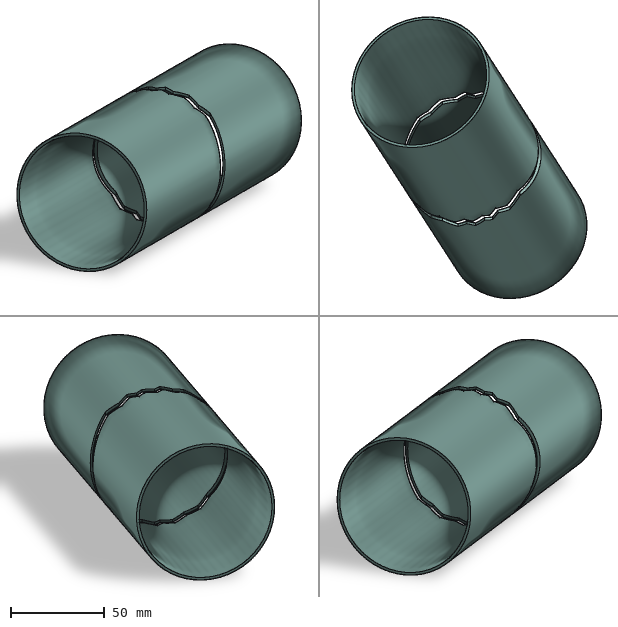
import cadquery as cq

tube_length = 200.0
outer_diameter = 76.0
inner_diameter = 73.0
outer_radius = outer_diameter / 2

break_gap = 5.5
break_edge = [
    (-outer_radius, -0.5),
    (-28.0, 6.0),
    (-21.5, 2.2),
    (-16.0, 6.2),
    (-11.8, 2.2),
    (-8.2, 4.5),
    (-2.2, 1.0),
    (1.5, 4.5),
    (7.5, 1.0),
    (15.0, 5.2),
    (22.0, 2.2),
    (27.5, 5.2),
    (outer_radius, 1.0),
]


def make_tube():
    """Full-length plain tube."""
    return (
        cq.Workplane("XZ")
        .circle(outer_radius)
        .circle(inner_diameter / 2)
        .extrude(tube_length / 2, both=True)
    )


def make_half_block(edge, end_y):
    """Block between a jagged edge and a tube end, through the whole height in Z."""
    end_corners = [(outer_radius, end_y), (-outer_radius, end_y)]
    return (
        cq.Workplane("XY")
        .polyline(edge + end_corners)
        .close()
        .extrude(outer_radius, both=True)
    )


rear_tube = make_tube().intersect(make_half_block(break_edge, tube_length / 2))

front_edge = [(x, y - break_gap) for x, y in break_edge]
front_tube = make_tube().intersect(make_half_block(front_edge, -tube_length / 2))

result = cq.Compound.makeCompound([rear_tube.solids().val(), front_tube.solids().val()])